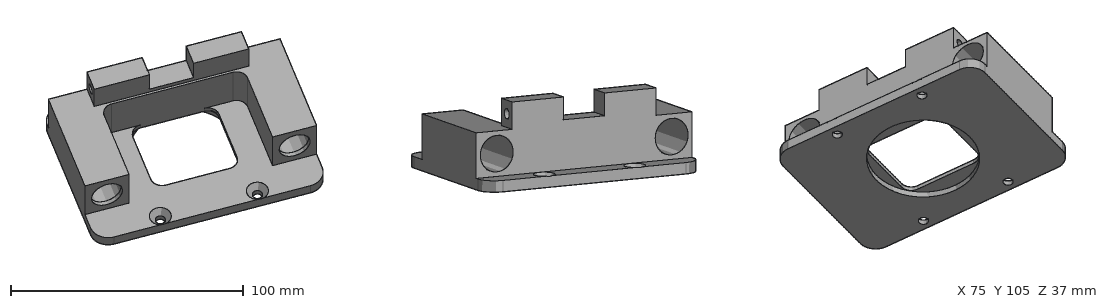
import cadquery as cq

plate_width = 75.0
plate_length = 105.0
plate_thickness = 5.0
plate_corner_radius = 8.0

block_start = 9.5
block_width = 50.0
block_top = 25.0
block_end = block_start + block_width

wall_thickness = 11.0
pocket_length = 65.0
pocket_start = block_start + wall_thickness
inner_corner_radius = 5.0

window_width = 34.5
window_length = 39.1

recess_diameter = 48.6
recess_depth = 2.9

rail_width = 10.0
rail_length = 70.0
rail_top = 37.0
gap_length = 20.0
gap_floor = 27.0

pin_diameter = 4.4
pin_height = 31.0
pin_depth = 15.0
pin_point_depth = 1.3

bore_inset = 10.0
bore_height = 15.0
bore_diameter = 16.0
lip_diameter = 14.0
lip_thickness = 2.0

screw_edge_distance = 4.5
screw_pitch = 44.0
screw_diameter = 4.3
countersink_diameter = 9.5
countersink_angle = 90
countersink_depth = (countersink_diameter - screw_diameter) / 2


def box(x_start, x_end, length, z_start, z_end):
    """Box centred on y = 0."""
    size = (x_end - x_start, length, z_end - z_start)
    return cq.Workplane("XY").box(*size, centered=(False, True, False)).translate((x_start, 0, z_start))


def make_body():
    plate = box(0, plate_width, plate_length, 0, plate_thickness)
    plate = plate.edges("|Z").fillet(plate_corner_radius)
    block = box(block_start, block_end, plate_length, 0, block_top)
    pocket = box(pocket_start, block_end, pocket_length, plate_thickness, block_top)
    pocket = pocket.edges("|Z and <X").fillet(inner_corner_radius)
    window = box(pocket_start, pocket_start + window_width, window_length, 0, plate_thickness)
    window = window.edges("|Z").fillet(inner_corner_radius)
    window_center = pocket_start + window_width / 2
    recess = cq.Workplane("XY").center(window_center, 0).circle(recess_diameter / 2).extrude(recess_depth)
    return plate.union(block).cut(pocket).cut(window).cut(recess)


def make_rail():
    rail_end = block_start + rail_width
    rail = box(block_start, rail_end, rail_length, plate_thickness, rail_top)
    return rail.cut(box(block_start, rail_end, gap_length, gap_floor, rail_top))


def make_rod_bore(y):
    lip_start = block_end - lip_thickness
    plane = cq.Workplane("YZ").center(y, bore_height)
    bore = plane.workplane(offset=block_start).circle(bore_diameter / 2).extrude(lip_start - block_start)
    lip = plane.workplane(offset=lip_start).circle(lip_diameter / 2).extrude(lip_thickness)
    return bore.union(lip)


def make_pin_hole():
    """Drilled hole entering the -Y end of the rail."""
    radius = pin_diameter / 2
    profile = (
        cq.Workplane("XY")
        .lineTo(radius, 0)
        .lineTo(radius, pin_depth)
        .lineTo(0, pin_depth + pin_point_depth)
        .close()
    )
    hole = profile.revolve(360, (0, 0, 0), (0, 1, 0))
    return hole.translate((block_start + rail_width / 2, -rail_length / 2, pin_height))


body = make_body().union(make_rail())

bore_y = plate_length / 2 - bore_inset
for y in (-bore_y, bore_y):
    body = body.cut(make_rod_bore(y))

pin_hole = make_pin_hole()
body = body.cut(pin_hole).cut(pin_hole.mirror("XZ"))

screw_positions = [
    (x, y)
    for x in (screw_edge_distance, plate_width - screw_edge_distance)
    for y in (-screw_pitch / 2, screw_pitch / 2)
]
plate_face = cq.Workplane("XY", origin=(0, 0, plate_thickness)).pushPoints(screw_positions)
result = body.cut(plate_face.circle(screw_diameter / 2).extrude(-plate_thickness))
countersinks = plate_face.circle(countersink_diameter / 2).extrude(-countersink_depth, taper=countersink_angle / 2)
result = result.cut(countersinks)